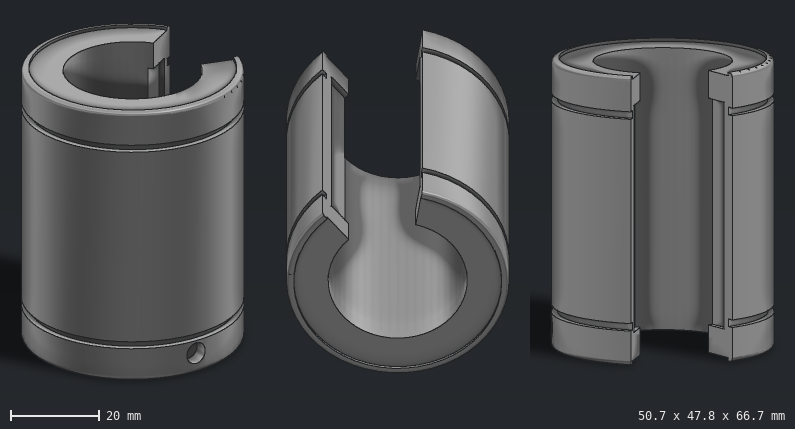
import cadquery as cq
import math

length = 66.7
outer_radius = 25.35
bore_radius = 15.8
rim_fillet = 1.0

groove_radius = 23.9
groove_width = 1.75
groove_end_distance = 8.0

recess_radius = 23.6
recess_depth = 0.75
plate_thickness = 6.4
sleeve_inner_radius = 22.0
liner_setback = 1.3

opening_inner_half_width = 7.9
opening_outer_half_width = 11.75

dimple_radius = 2.55
dimple_height = 4.9
dimple_angle = -8.0
dimple_depth = outer_radius - sleeve_inner_radius


def disc(radius, bottom, height):
    return cq.Workplane("XY").workplane(offset=bottom).circle(radius).extrude(height)


def opening_wedge(setback, bottom, height):
    """Flared cutter through the +Y wall, each side moved outward by setback."""
    inner_y = math.sqrt(bore_radius**2 - opening_inner_half_width**2)
    outer_y = math.sqrt(outer_radius**2 - opening_outer_half_width**2)
    slope = (opening_outer_half_width - opening_inner_half_width) / (outer_y - inner_y)
    sideways = setback * math.hypot(1, slope)
    far_y = outer_radius

    def half_width(y):
        return opening_inner_half_width + slope * (y - inner_y) + sideways

    near = half_width(0)
    far = half_width(far_y)
    return (
        cq.Workplane("XY")
        .workplane(offset=bottom)
        .polyline([(-near, 0), (near, 0), (far, far_y), (-far, far_y)])
        .close()
        .extrude(height)
    )


def retaining_groove(bottom):
    ring = disc(outer_radius, bottom, groove_width)
    return ring.cut(disc(groove_radius, bottom, groove_width))


def radial_dimple():
    direction = cq.Vector(
        math.cos(math.radians(dimple_angle)), math.sin(math.radians(dimple_angle)), 0
    )
    start = direction * (outer_radius - dimple_depth) + cq.Vector(0, 0, dimple_height)
    return cq.Solid.makeCylinder(dimple_radius, 2 * dimple_depth, start, direction)


body = disc(outer_radius, 0, length).faces("<Z or >Z").edges().fillet(rim_fillet)
for recess_bottom in (0, length - recess_depth):
    body = body.cut(disc(recess_radius, recess_bottom, recess_depth))
body = body.cut(disc(bore_radius, 0, length))

for groove_bottom in (groove_end_distance, length - groove_end_distance - groove_width):
    body = body.cut(retaining_groove(groove_bottom))

body = body.cut(opening_wedge(0, 0, length))
liner_bottom = recess_depth + plate_thickness
liner_length = length - 2 * liner_bottom
liner_opening = opening_wedge(liner_setback, liner_bottom, liner_length).intersect(
    disc(sleeve_inner_radius, liner_bottom, liner_length)
)
body = body.cut(liner_opening)

result = body.cut(cq.Workplane(obj=radial_dimple()))